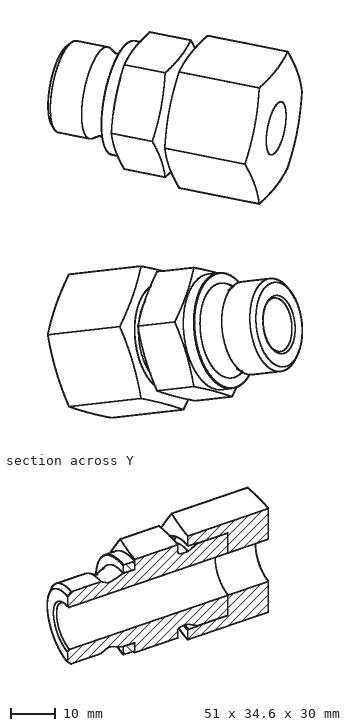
import cadquery as cq
import math


total_length = 51.0
thread_end = 8.45
collar_front = 14.15
hex_front = 17.05
hex_back = 28.05
nut_front = 30.5
neck_end = 30.6
stub_end = (nut_front + total_length) / 2

bore_radius = 6.0
bore_chamfer = 0.5
thread_radius = 10.45
thread_chamfer = 0.95
undercut_front_angle = 30.0
undercut_back_angle = 21.5
undercut_fillet = 1.35
seat_radius = 10.65
neck_radius = 10.55
neck_fillet = 0.9
stub_radius = 12.0
stub_cone_angle = 30.0
body_hex_flats = 27.0
body_hex_face_radius = 13.35

collar_radius = 13.0
collar_chamfer = 0.15

nut_hex_flats = 30.0
nut_hex_face_radius = 14.95
socket_chamfer = 0.2

hex_chamfer_angle = 15.0


def x_cylinder(x_start, x_end, radius):
    """Solid cylinder along X between two stations."""
    return cq.Workplane("YZ", origin=(x_start, 0, 0)).circle(radius).extrude(x_end - x_start)


def chamfered_hexagon(x_start, x_end, flats, face_radius):
    """Hexagonal prism along X, corners on Y, with both ends turned to a shallow cone."""
    corner_radius = flats / math.sqrt(3)
    cone_length = (corner_radius - face_radius) * math.tan(math.radians(hex_chamfer_angle))
    prism = (
        cq.Workplane("YZ", origin=(x_start, 0, 0))
        .polygon(6, 2 * corner_radius)
        .extrude(x_end - x_start)
    )
    turned_envelope = (
        cq.Workplane("XY")
        .moveTo(x_start, 0)
        .lineTo(x_start, face_radius)
        .lineTo(x_start + cone_length, corner_radius)
        .lineTo(x_end - cone_length, corner_radius)
        .lineTo(x_end, face_radius)
        .lineTo(x_end, 0)
        .close()
        .revolve(360, (0, 0, 0), (1, 0, 0))
    )
    return prism.intersect(turned_envelope)


def make_spigot():
    """Threaded end with its rounded V undercut and the cylindrical seat of the collar ring."""
    front_slope = math.tan(math.radians(undercut_front_angle))
    back_slope = math.tan(math.radians(undercut_back_angle))
    undercut_span = collar_front - thread_end
    radius_gain = seat_radius - thread_radius
    floor_offset = (undercut_span * back_slope - radius_gain) / (front_slope + back_slope)
    floor_x = thread_end + floor_offset
    floor_radius = thread_radius - floor_offset * front_slope
    spigot = (
        cq.Workplane("XY")
        .lineTo(0, thread_radius - thread_chamfer)
        .lineTo(thread_chamfer, thread_radius)
        .lineTo(thread_end, thread_radius)
        .lineTo(floor_x, floor_radius)
        .lineTo(collar_front, seat_radius)
        .lineTo(hex_front, seat_radius)
        .lineTo(hex_front, 0)
        .close()
        .revolve(360, (0, 0, 0), (1, 0, 0))
    )
    floor_edge = cq.selectors.BoxSelector(
        (floor_x - undercut_fillet / 2, -thread_radius, -thread_radius),
        (floor_x + undercut_fillet / 2, thread_radius, thread_radius),
    )
    return spigot.edges("%CIRCLE").edges(floor_edge).fillet(undercut_fillet)


def make_stub():
    """Rear stub: a neck filleted to the hexagon, then a cone up to the full stub radius."""
    cone_length = (stub_radius - neck_radius) / math.tan(math.radians(stub_cone_angle))
    arc_inset = neck_fillet * (1 - math.sqrt(0.5))
    return (
        cq.Workplane("XY")
        .moveTo(hex_back, 0)
        .lineTo(hex_back, neck_radius + neck_fillet)
        .threePointArc(
            (hex_back + arc_inset, neck_radius + arc_inset),
            (hex_back + neck_fillet, neck_radius),
        )
        .lineTo(neck_end, neck_radius)
        .lineTo(neck_end + cone_length, stub_radius)
        .lineTo(stub_end, stub_radius)
        .lineTo(stub_end, 0)
        .close()
        .revolve(360, (0, 0, 0), (1, 0, 0))
    )


def make_stud_body():
    """Spigot, hexagon and stub in one piece, bored through."""
    hexagon = chamfered_hexagon(hex_front, hex_back, body_hex_flats, body_hex_face_radius)
    blank = make_spigot().union(hexagon).union(make_stub())
    bored = blank.cut(x_cylinder(0, stub_end, bore_radius))
    bore_mouth = bored.faces("<X").edges(cq.selectors.RadiusNthSelector(0))
    return bore_mouth.chamfer(bore_chamfer)


def make_collar_ring():
    """Sealing ring on the spigot seat, its outer front edge chamfered."""
    disc = x_cylinder(collar_front, hex_front, collar_radius).faces("<X").edges().chamfer(collar_chamfer)
    return disc.cut(x_cylinder(collar_front, hex_front, seat_radius))


def make_union_nut():
    """Hexagonal nut with a socket for the stub, chamfered at its mouth, and a passage that continues the bore."""
    hexagon = chamfered_hexagon(nut_front, total_length, nut_hex_flats, nut_hex_face_radius)
    socket = x_cylinder(nut_front, stub_end, stub_radius)
    passage = x_cylinder(nut_front, total_length, bore_radius)
    socketed = hexagon.cut(socket)
    entry_edge = socketed.faces("<X").edges("%CIRCLE").edges(cq.selectors.RadiusNthSelector(0))
    return entry_edge.chamfer(socket_chamfer).cut(passage)


stud_body = make_stud_body()
collar_ring = make_collar_ring()
union_nut = make_union_nut()

result = cq.Compound.makeCompound([
    stud_body.solids().val(),
    collar_ring.solids().val(),
    union_nut.solids().val(),
])